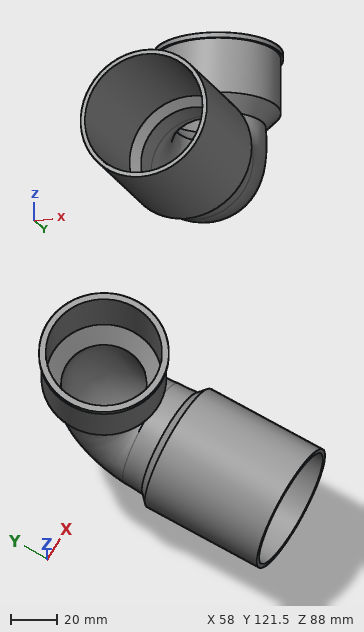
import cadquery as cq
import math

collar_diameter = 56.0
socket_diameter = 54.0
socket_bore = 50.0
collar_height = 2.3
socket_depth = 27.1
socket_cone_height = 6.7
neck_diameter = 41.0
neck_bore = 36.8

pipe_diameter = 58.0
pipe_bore = 54.0
pipe_length = 56.0
pipe_cone_length = 3.8
throat_diameter = 50.0
throat_bore = 46.3
throat_length = 10.1
bend_end_diameter = 48.8
bend_end_bore = 44.6

overall_length = 121.5
overall_height = 88.0
socket_top = overall_height - pipe_diameter / 2
socket_bottom = socket_top - socket_depth
bend_top = socket_bottom - socket_cone_height
pipe_mouth = collar_diameter / 2 - overall_length
pipe_end = pipe_mouth + pipe_length
throat_start = pipe_end + pipe_cone_length
bend_end = throat_start + throat_length
bend_section_count = 7


def revolve_z(profile):
    """Revolve (radius, z) points about the Z axis."""
    points = [(0, profile[0][1])] + profile + [(0, profile[-1][1])]
    return cq.Workplane("XZ").polyline(points).close().revolve(360, (0, 0), (0, 1))


def revolve_y(profile):
    """Revolve (radius, y) points about the Y axis."""
    points = [(0, profile[0][1])] + profile + [(0, profile[-1][1])]
    return cq.Workplane("XY").polyline(points).close().revolve(360, (0, 0), (0, 1))


def tapered_bend(top_diameter, end_diameter):
    """Loft circles around a quarter bend; every section plane passes through the bend pivot."""
    wires = []
    for index in range(bend_section_count):
        fraction = index / (bend_section_count - 1)
        angle = fraction * math.pi / 2
        distance = -bend_end + fraction * (bend_top + bend_end)
        center = cq.Vector(
            0,
            bend_end + distance * math.cos(angle),
            bend_top - distance * math.sin(angle),
        )
        direction = cq.Vector(0, -math.sin(angle), -math.cos(angle))
        diameter = top_diameter + fraction * (end_diameter - top_diameter)
        section = cq.Plane(center, (1, 0, 0), direction)
        wires.append(cq.Workplane(section).circle(diameter / 2).val())
    return cq.Workplane(cq.Solid.makeLoft(wires))


socket_body = revolve_z([
    (neck_diameter / 2, bend_top),
    (socket_diameter / 2, socket_bottom),
    (socket_diameter / 2, socket_top - collar_height),
    (collar_diameter / 2, socket_top - collar_height),
    (collar_diameter / 2, socket_top),
])
pipe_body = revolve_y([
    (bend_end_diameter / 2, bend_end),
    (throat_diameter / 2, throat_start),
    (pipe_diameter / 2, pipe_end),
    (pipe_diameter / 2, pipe_mouth),
])
bend_body = tapered_bend(neck_diameter, bend_end_diameter)

socket_cavity = revolve_z([
    (neck_bore / 2, bend_top),
    (socket_bore / 2, socket_bottom),
    (socket_bore / 2, socket_top),
])
pipe_cavity = revolve_y([
    (bend_end_bore / 2, bend_end),
    (throat_bore / 2, throat_start),
    (pipe_bore / 2, pipe_end),
    (pipe_bore / 2, pipe_mouth),
])
bend_cavity = tapered_bend(neck_bore, bend_end_bore)

body = bend_body.union(socket_body).union(pipe_body)
result = body.cut(socket_cavity).cut(pipe_cavity).cut(bend_cavity)